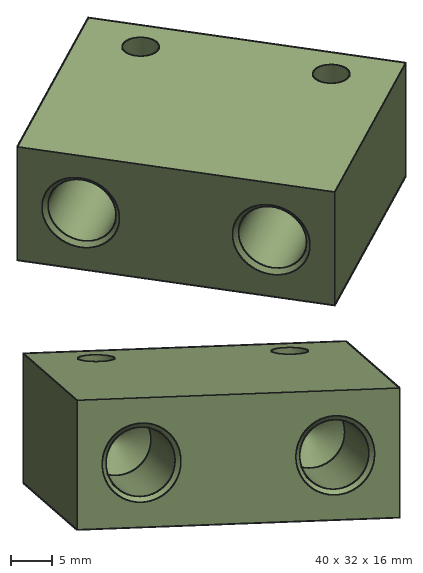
import cadquery as cq
import math

length = 40.0
width = 32.0
height = 16.0

hole_spacing = 24.0
hole_positions = (-hole_spacing / 2, hole_spacing / 2)

mount_diameter = 4.5
mount_back_offset = 5.0

port_diameter = 8.55
port_mouth_diameter = 9.75
port_depth = 15.0
drill_point_angle = 118.0


def make_port(x):
    """Solid of one port: countersunk mouth, straight bore and conical drill point."""
    bore_radius = port_diameter / 2
    mouth_radius = port_mouth_diameter / 2
    countersink_depth = mouth_radius - bore_radius
    point_depth = bore_radius / math.tan(math.radians(drill_point_angle / 2))
    front = -width / 2
    profile = (
        cq.Workplane("XY")
        .moveTo(0, front)
        .lineTo(mouth_radius, front)
        .lineTo(bore_radius, front + countersink_depth)
        .lineTo(bore_radius, front + port_depth)
        .lineTo(0, front + port_depth + point_depth)
        .close()
    )
    return profile.revolve(360, (0, 0, 0), (0, 1, 0)).translate((x, 0, 0))


def make_mount_hole(x):
    """Solid of one vertical hole through the full height."""
    hole = cq.Workplane("XY").circle(mount_diameter / 2).extrude(height)
    return hole.translate((x, width / 2 - mount_back_offset, -height / 2))


result = cq.Workplane("XY").box(length, width, height)
for x in hole_positions:
    result = result.cut(make_port(x))
    result = result.cut(make_mount_hole(x))